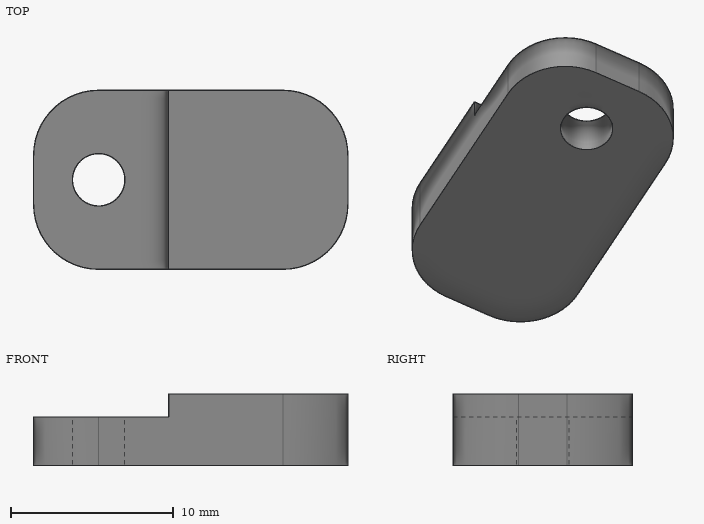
import cadquery as cq

length = 19.3
width = 11.0
height = 4.4
corner_radius = 4.0
tab_thickness = 3.0
hole_diameter = 3.2

pad_length = width
tab_length = length - pad_length

hole_x = corner_radius
hole_y = width / 2


def rounded_plate():
    """Full-height plate with its lower left corner at the origin and rounded vertical edges."""
    plate = cq.Workplane("XY").box(length, width, height, centered=False)
    return plate.edges("|Z").fillet(corner_radius)


def tab_step():
    """Material removed above the tab to form the step up to the pad."""
    step = cq.Workplane("XY").box(tab_length, width, height - tab_thickness, centered=False)
    return step.translate((0, 0, tab_thickness))


def tab_hole():
    """Cylinder that pierces the tab from bottom to top."""
    return cq.Workplane("XY").center(hole_x, hole_y).circle(hole_diameter / 2).extrude(height)


result = rounded_plate().cut(tab_step()).cut(tab_hole())